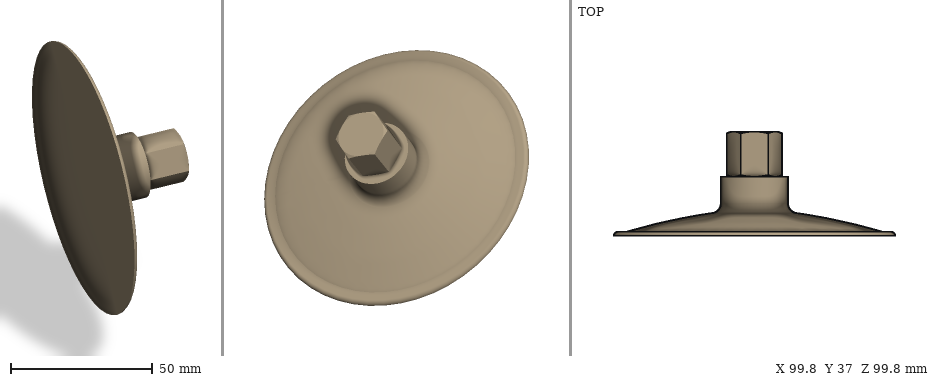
import cadquery as cq
import math

height = 37.0
disc_radius = 49.9
rim_thickness = 1.5
dome_radius = 45.4
dome_mid_radius = 31.0
dome_mid_y = 5.2
dome_top_y = 8.1

collar_radius = 12.0
collar_foot_y = 11.4
flare_radius = collar_foot_y - dome_top_y
flare_outer_radius = collar_radius + flare_radius

nut_length = 16.0
nut_across_flats = 17.0
nut_corner_radius = nut_across_flats / math.sqrt(3)
nut_start_y = height - nut_length
corner_bevel_depth = 0.6
corner_bevel_radius = nut_across_flats / 2


def make_cup_and_collar():
    """Revolve the rim, dome, flare and collar about the Y axis."""
    rim_diagonal = rim_thickness * math.sqrt(0.5)
    rim_round_mid = (disc_radius - rim_thickness + rim_diagonal, rim_diagonal)

    flare_diagonal = flare_radius * math.sqrt(0.5)
    flare_mid = (flare_outer_radius - flare_diagonal, collar_foot_y - flare_diagonal)
    return (
        cq.Workplane("XY")
        .moveTo(0, 0)
        .lineTo(disc_radius, 0)
        .threePointArc(rim_round_mid, (disc_radius - rim_thickness, rim_thickness))
        .lineTo(dome_radius, rim_thickness)
        .threePointArc((dome_mid_radius, dome_mid_y), (flare_outer_radius, dome_top_y))
        .threePointArc(flare_mid, (collar_radius, collar_foot_y))
        .lineTo(collar_radius, nut_start_y)
        .lineTo(0, nut_start_y)
        .close()
        .revolve(360, (0, 0, 0), (0, 1, 0))
    )


def make_nut():
    """Hexagon with corners on the X axis, its corners bevelled at both ends."""
    hexagon = (
        cq.Workplane("XZ", origin=(0, nut_start_y, 0))
        .polygon(6, 2 * nut_corner_radius)
        .extrude(-nut_length)
    )
    bevel_envelope = (
        cq.Workplane("XY")
        .moveTo(0, nut_start_y)
        .lineTo(corner_bevel_radius, nut_start_y)
        .lineTo(nut_corner_radius, nut_start_y + corner_bevel_depth)
        .lineTo(nut_corner_radius, height - corner_bevel_depth)
        .lineTo(corner_bevel_radius, height)
        .lineTo(0, height)
        .close()
        .revolve(360, (0, 0, 0), (0, 1, 0))
    )
    return hexagon.intersect(bevel_envelope)


result = make_cup_and_collar().union(make_nut())